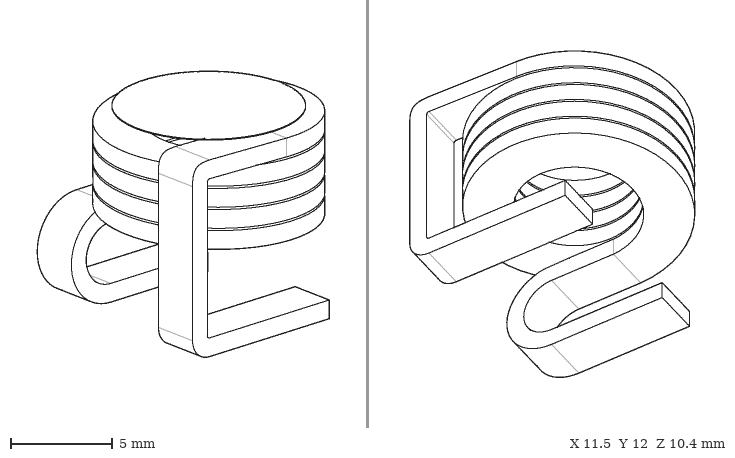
import cadquery as cq

width = 11.5
depth = 12.0
height = 10.4

strip_width = 2.53
strip_thickness = 1.0

coil_outer_radius = width / 2
coil_inner_radius = coil_outer_radius - strip_width
pitch = 1.12
turns = 4.5

lead_front_y = coil_outer_radius - depth
foot_length = 9.11
foot_end_y = lead_front_y + foot_length
right_lead_rise = 0.13
right_bend_size = 1.13
top_bend_fullness = 0.78

disc_diameter = 9.6
disc_thickness = 0.05

coil_top_z = height - right_lead_rise
coil_bottom_z = coil_top_z - turns * pitch


def make_coil():
    """Sweep the strip section, edge on, along a left-handed helix."""
    helix = cq.Wire.makeHelix(pitch, turns * pitch, coil_outer_radius, lefthand=True)
    section = (
        cq.Workplane("XZ")
        .moveTo(coil_inner_radius, -strip_thickness)
        .lineTo(coil_outer_radius, -strip_thickness)
        .lineTo(coil_outer_radius, 0)
        .lineTo(coil_inner_radius, 0)
        .close()
    )
    coil = section.sweep(cq.Workplane(obj=helix), isFrenet=True)
    return coil.rotate((0, 0, 0), (0, 0, 1), 180).translate((0, 0, coil_bottom_z))


def make_left_lead():
    """U-shaped lead: level arm, half-round bend at the front, foot running back."""
    outer_radius = coil_bottom_z / 2
    bend_y = lead_front_y + outer_radius
    return (
        cq.Workplane("YZ", origin=(-width / 2, 0, 0))
        .moveTo(0, coil_bottom_z)
        .lineTo(bend_y, coil_bottom_z)
        .threePointArc((lead_front_y, outer_radius), (bend_y, 0))
        .lineTo(foot_end_y, 0)
        .lineTo(foot_end_y, strip_thickness)
        .lineTo(bend_y, strip_thickness)
        .threePointArc(
            (lead_front_y + strip_thickness, outer_radius),
            (bend_y, coil_bottom_z - strip_thickness),
        )
        .lineTo(0, coil_bottom_z - strip_thickness)
        .close()
        .extrude(strip_width)
    )


def make_right_lead():
    """C-shaped lead: slightly rising arm, upright leg at the front, foot running back."""
    leg_back_y = lead_front_y + strip_thickness
    top_bend_y = lead_front_y + right_bend_size
    top_bend_z = height - right_bend_size
    top_bend_handle = top_bend_fullness * right_bend_size
    slope = right_lead_rise / top_bend_y
    inner_corner_z = coil_top_z - strip_thickness + slope * leg_back_y
    lead = (
        cq.Workplane("YZ", origin=(width / 2 - strip_width, 0, 0))
        .moveTo(0, coil_top_z)
        .lineTo(top_bend_y, height)
        .bezier(
            [
                (top_bend_y - top_bend_handle, height),
                (lead_front_y, top_bend_z + top_bend_handle),
                (lead_front_y, top_bend_z),
            ],
            includeCurrent=True,
        )
        .lineTo(lead_front_y, right_bend_size)
        .radiusArc((top_bend_y, 0), -right_bend_size)
        .lineTo(foot_end_y, 0)
        .lineTo(foot_end_y, strip_thickness)
        .lineTo(leg_back_y, strip_thickness)
        .lineTo(leg_back_y, inner_corner_z)
        .lineTo(0, coil_top_z - strip_thickness)
        .close()
        .extrude(strip_width)
    )
    inner_bend_radius = right_bend_size - strip_thickness
    margin = strip_thickness / 2
    inner_corners = cq.selectors.BoxSelector(
        (0, leg_back_y - margin, margin),
        (width, leg_back_y + margin, height - margin),
    )
    return lead.edges("|X").edges(inner_corners).fillet(inner_bend_radius)


def make_disc():
    """Marking disc whose upper face is the top of the part."""
    return (
        cq.Workplane("XY", origin=(0, 0, height - disc_thickness))
        .circle(disc_diameter / 2)
        .extrude(disc_thickness)
    )


result = make_coil().union(make_left_lead()).union(make_right_lead()).union(make_disc())